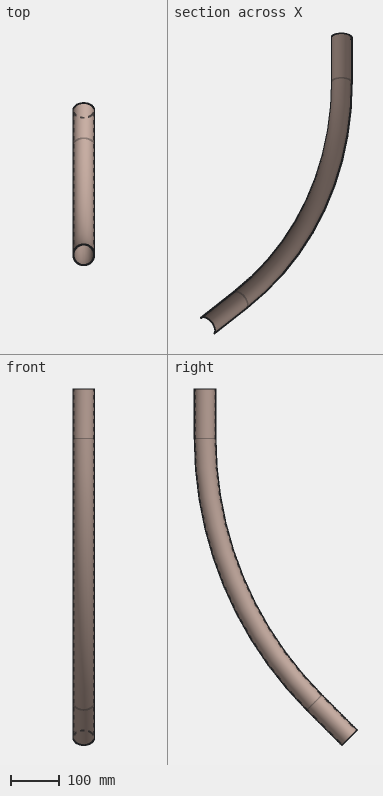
import cadquery as cq
import math

outer_diameter = 44.45
inner_diameter = 40.23
bend_radius = 762.0
bend_angle = 45.0
tangent_length = 101.6


def centreline_point(angle):
    """Point (Y, Z) on the bend, the given angle in degrees below its upper end."""
    turn = math.radians(angle)
    y = bend_radius * (1 - math.cos(turn))
    z = -bend_radius * math.sin(turn)
    return y, z


def make_centreline():
    """Path in the YZ plane: down the vertical tangent, round the bend towards +Y, along the sloping tangent."""
    bend_end_y, bend_end_z = centreline_point(bend_angle)
    slope = math.radians(bend_angle)
    lower_end = (
        bend_end_y + tangent_length * math.sin(slope),
        bend_end_z - tangent_length * math.cos(slope),
    )
    return (
        cq.Workplane("YZ")
        .moveTo(0, tangent_length)
        .lineTo(0, 0)
        .threePointArc(centreline_point(bend_angle / 2), (bend_end_y, bend_end_z))
        .lineTo(*lower_end)
    )


def make_tube():
    """Sweep the ring section from the upper end of the centreline."""
    section = (
        cq.Workplane("XY", origin=(0, 0, tangent_length))
        .circle(outer_diameter / 2)
        .circle(inner_diameter / 2)
    )
    return section.sweep(make_centreline())


result = make_tube()